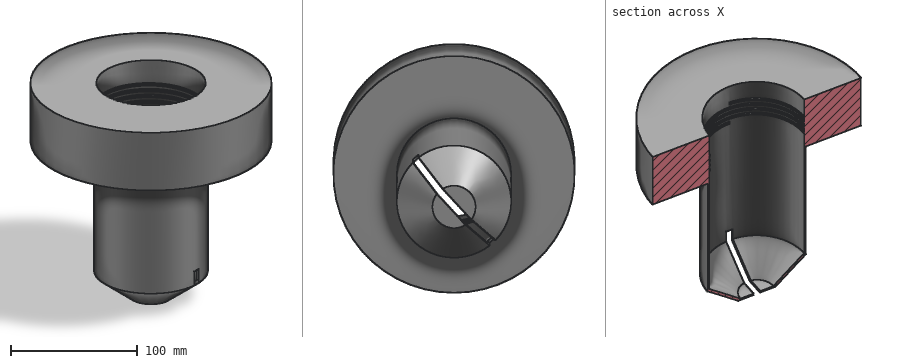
import cadquery as cq

flange_diameter = 190.0
flange_height = 50.0
shank_diameter = 90.0
wall = 2.0
total_height = 184.0
tip_diameter = 34.0
tip_height = 22.0
slot_width = 6.0
slot_height = 34.0

thread_pitch = 5.0
thread_turns = 4
thread_end_depth = 37.75
ridge_height = 0.75
ridge_base = 2.5
ridge_crest = 0.5
ridge_overlap = 0.5

flange_radius = flange_diameter / 2
shank_radius = shank_diameter / 2
bore_radius = shank_radius - wall
tip_radius = tip_diameter / 2
floor_radius = tip_radius - wall
flange_bottom = total_height - flange_height
root_radius = bore_radius + ridge_overlap
crest_radius = bore_radius - ridge_height
thread_length = thread_pitch * thread_turns
thread_bottom = total_height - thread_end_depth


def hollow_body():
    """Flange, tubular shank and closed conical tip, revolved about Z."""
    profile = [
        (0, 0),
        (tip_radius, 0),
        (shank_radius, tip_height),
        (shank_radius, flange_bottom),
        (flange_radius, flange_bottom),
        (flange_radius, total_height),
        (bore_radius, total_height),
        (bore_radius, tip_height + wall),
        (floor_radius, wall),
        (0, wall),
    ]
    return cq.Workplane("XZ").polyline(profile).close().revolve(360, (0, 0), (0, 1))


def tip_slot():
    """Cutter for the slot that runs along X through the whole tip."""
    return cq.Workplane("XY").box(shank_diameter, slot_width, slot_height, centered=(True, True, False))


def thread_ridge():
    """Right-handed ridge whose root is sunk slightly into the bore wall."""
    helix = cq.Wire.makeHelix(thread_pitch, thread_length, root_radius)
    section = [
        (root_radius, -ridge_base / 2),
        (bore_radius, -ridge_base / 2),
        (crest_radius, -ridge_crest / 2),
        (crest_radius, ridge_crest / 2),
        (bore_radius, ridge_base / 2),
        (root_radius, ridge_base / 2),
    ]
    ridge = cq.Workplane("XZ").polyline(section).close().sweep(cq.Workplane(helix), isFrenet=True)
    return ridge.translate((0, 0, thread_bottom))


result = hollow_body().cut(tip_slot()).union(thread_ridge())